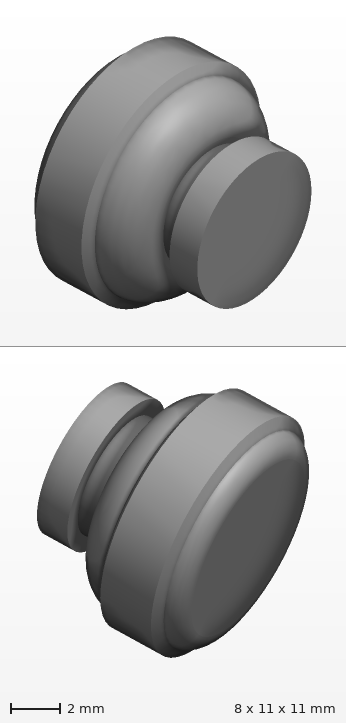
import cadquery as cq
import math

band_radius = 5.5
shoulder_radius = 5.0
neck_radius = 2.75
flange_radius = 3.5

band_start = 1.0
band_end = 3.5
dome_end = 5.5
neck_end = 6.5
total_length = 8.0

flank_angle = math.radians(60)
flank_length = (band_radius - shoulder_radius) / math.tan(flank_angle)
front_round_end = band_start - flank_length
dome_start = band_end + flank_length

front_round_radius = band_start
dome_round_radius = dome_end - band_end


def arc_centre_height(round_radius):
    """Distance from the X axis to the centre of a shoulder arc."""
    return shoulder_radius - math.sqrt(round_radius**2 - flank_length**2)


def arc_midpoint(centre_x, round_radius, direction):
    """Point at 45 degrees on a shoulder arc; direction is -1 or 1 along X."""
    offset = round_radius * math.sqrt(0.5)
    return (centre_x + direction * offset, arc_centre_height(round_radius) + offset)


profile = (
    cq.Workplane("XY")
    .lineTo(0, arc_centre_height(front_round_radius))
    .threePointArc(
        arc_midpoint(band_start, front_round_radius, -1),
        (front_round_end, shoulder_radius),
    )
    .lineTo(band_start, band_radius)
    .lineTo(band_end, band_radius)
    .lineTo(dome_start, shoulder_radius)
    .threePointArc(
        arc_midpoint(band_end, dome_round_radius, 1),
        (dome_end, arc_centre_height(dome_round_radius)),
    )
    .lineTo(dome_end, neck_radius)
    .lineTo(neck_end, neck_radius)
    .lineTo(neck_end, flange_radius)
    .lineTo(total_length, flange_radius)
    .lineTo(total_length, 0)
    .close()
)

result = profile.revolve(360, (0, 0, 0), (1, 0, 0))